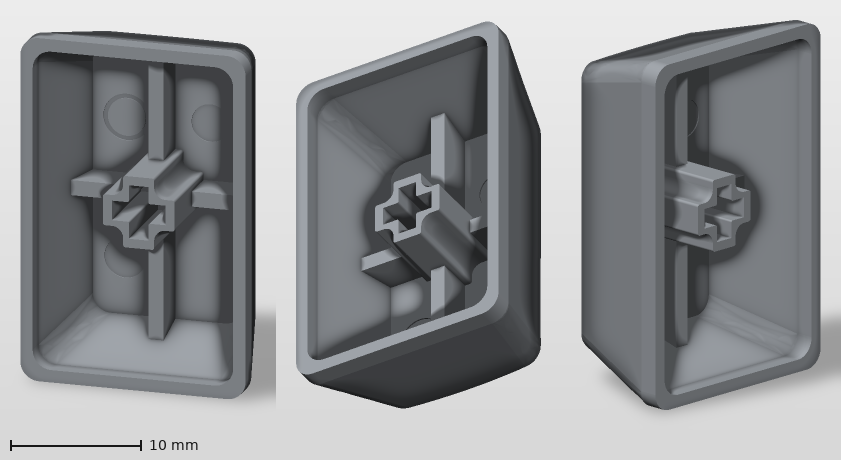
import cadquery as cq
import math

WIDTH = 18.0
LENGTH = 27.53
HEIGHT = 11.12
SKIRT_HEIGHT = 1.5
TAPER_ANGLE = 15.0
CORNER_RADIUS = 1.5
CROWN_RADIUS = 32.49
CROWN_EDGE_RADIUS = 0.55

WALL = 1.0
CAVITY_DEPTH = 9.03

STEM_START = 1.5
STEM_SPAN = 5.73
STEM_ARM_WIDTH = 2.48
STEM_CORNER_RADIUS = 0.2
STEM_INNER_RADIUS = 0.9
SLOT_SPAN = 4.3
SLOT_ARM_WIDTH = 1.57
SLOT_CORNER_RADIUS = 0.15
CORNER_MARGIN = 0.03

RIB_START = 6.0
RIB_WIDTH = 1.2

MARK_DEPTH = 0.1
RING_PLACE = (-3.28, 5.07)
RING_OUTER_RADIUS = 1.87
RING_INNER_RADIUS = 1.51
DISCS = [
    (3.4, 5.2, 1.51),
    (-3.4, -6.2, 1.65),
]


def sketch_plane(depth):
    """Plane at the given depth with local x along X, local y along Z, normal toward the rim."""
    return cq.Workplane("XZ", origin=(0, depth, 0))


def tapered_block(width, length, depth):
    """Straight skirt followed by walls leaning inward, with rounded corner edges."""
    skirt = sketch_plane(0).rect(width, length).extrude(-SKIRT_HEIGHT)
    inset = (depth - SKIRT_HEIGHT) * math.tan(math.radians(TAPER_ANGLE))
    upper = (
        sketch_plane(SKIRT_HEIGHT)
        .rect(width, length)
        .workplane(offset=SKIRT_HEIGHT - depth)
        .rect(width - 2 * inset, length - 2 * inset)
        .loft(ruled=True)
    )
    return skirt.union(upper).edges("not(#Y)").fillet(CORNER_RADIUS)


def cross(span, arm_width, depth_start, depth_end):
    """Prism with a plus-shaped section."""
    depth = depth_end - depth_start
    upright = sketch_plane(depth_start).rect(arm_width, span).extrude(-depth)
    level = sketch_plane(depth_start).rect(span, arm_width).extrude(-depth)
    return upright.union(level)


def inner_corners(arm_width):
    """Selector for the four lengthwise edges where the arms of a cross meet."""
    reach = arm_width / 2 + CORNER_MARGIN
    return cq.selectors.BoxSelector((-reach, 0, -reach), (reach, HEIGHT, reach))


def make_shell():
    """Hollow body whose crown is a cylinder along Z."""
    crown_barrel = (
        cq.Workplane("XY", origin=(0, HEIGHT - CROWN_RADIUS, -LENGTH / 2))
        .circle(CROWN_RADIUS)
        .extrude(LENGTH)
    )
    body = tapered_block(WIDTH, LENGTH, HEIGHT).intersect(crown_barrel)
    body = body.faces(">Y").edges().fillet(CROWN_EDGE_RADIUS)
    return body.cut(make_cavity())


def make_cavity():
    return tapered_block(WIDTH - 2 * WALL, LENGTH - 2 * WALL, CAVITY_DEPTH)


def make_ribs():
    ribs = cross(LENGTH, RIB_WIDTH, RIB_START, CAVITY_DEPTH)
    return ribs.intersect(make_cavity())


def make_stem():
    stem = cross(STEM_SPAN, STEM_ARM_WIDTH, STEM_START, CAVITY_DEPTH)
    stem = stem.edges("|Y").edges(inner_corners(STEM_ARM_WIDTH)).fillet(STEM_INNER_RADIUS)
    tips = stem.faces("<X or >X or <Z or >Z").edges("|Y")
    return tips.fillet(STEM_CORNER_RADIUS)


def make_slot():
    slot = cross(SLOT_SPAN, SLOT_ARM_WIDTH, STEM_START, CAVITY_DEPTH)
    return slot.edges("|Y").edges(inner_corners(SLOT_ARM_WIDTH)).fillet(SLOT_CORNER_RADIUS)


def make_floor_marks():
    floor = sketch_plane(CAVITY_DEPTH)
    marks = (
        floor.center(*RING_PLACE)
        .circle(RING_OUTER_RADIUS)
        .circle(RING_INNER_RADIUS)
        .extrude(-MARK_DEPTH)
    )
    for x, z, radius in DISCS:
        disc = floor.center(x, z).circle(radius).extrude(-MARK_DEPTH)
        marks = marks.union(disc)
    return marks


result = (
    make_shell()
    .union(make_ribs())
    .union(make_stem())
    .cut(make_floor_marks())
    .cut(make_slot())
)